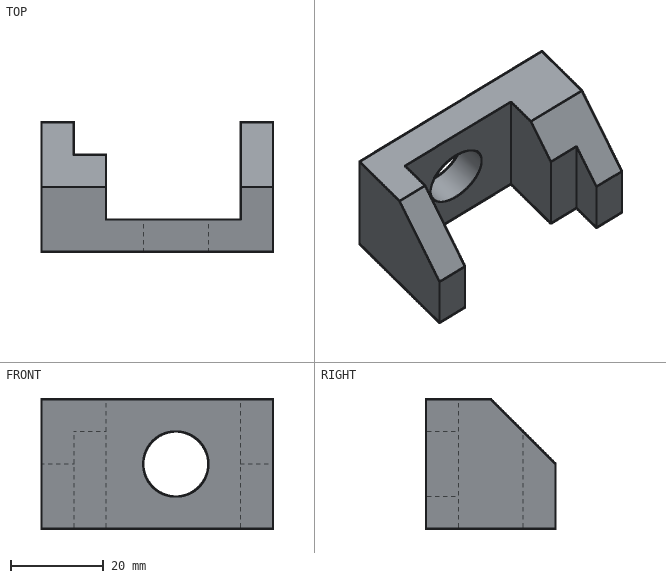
import cadquery as cq

length = 50.0
wall = 7.0
depth = 4 * wall
height = 4 * wall

left_cheek = 2 * wall
step = wall

slope = 2 * wall

hole_diameter = 2 * wall
hole_x = 29.0
hole_z = height / 2


def make_body():
    """U-shaped plan, open to the rear, with a step in the left cheek."""
    plan = [
        (0, 0),
        (length, 0),
        (length, depth),
        (length - wall, depth),
        (length - wall, wall),
        (left_cheek, wall),
        (left_cheek, depth - step),
        (left_cheek - step, depth - step),
        (left_cheek - step, depth),
        (0, depth),
    ]
    return cq.Workplane("XY").polyline(plan).close().extrude(height)


def make_slope_cutter():
    """Triangular prism that slopes the upper rear edge at 45 degrees."""
    triangle = [(depth - slope, height), (depth, height), (depth, height - slope)]
    return cq.Workplane("YZ").polyline(triangle).close().extrude(length)


def make_hole_cutter():
    """Cylinder running rearward through the front wall."""
    return (
        cq.Workplane("XZ")
        .center(hole_x, hole_z)
        .circle(hole_diameter / 2)
        .extrude(-wall)
    )


result = make_body().cut(make_slope_cutter()).cut(make_hole_cutter())